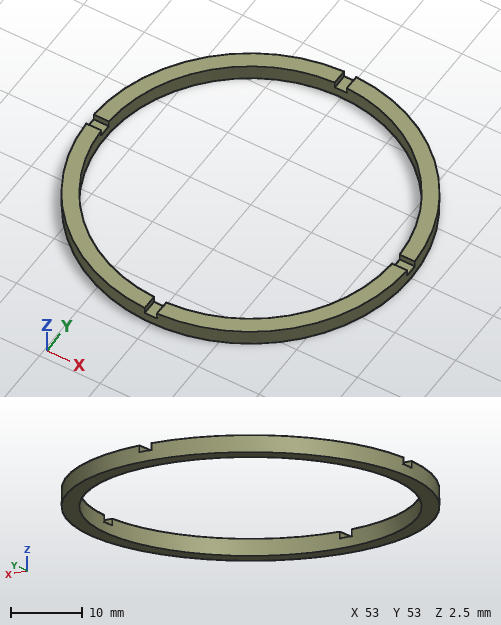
import cadquery as cq

outer_diameter = 53.0
inner_diameter = 48.0
thickness = 2.5
notch_width = 2.0
notch_depth = 1.0


def make_ring():
    """Flat ring standing on the XY plane, centred on the Z axis."""
    return (
        cq.Workplane("XY")
        .circle(outer_diameter / 2)
        .circle(inner_diameter / 2)
        .extrude(thickness)
    )


def make_notch_bar(angle):
    """Bar across the full diameter that cuts two opposite notches in the top face."""
    return (
        cq.Workplane("XY")
        .workplane(offset=thickness - notch_depth)
        .rect(outer_diameter, notch_width)
        .extrude(notch_depth)
        .rotate((0, 0, 0), (0, 0, 1), angle)
    )


result = make_ring()
for bar_angle in (0, 90):
    result = result.cut(make_notch_bar(bar_angle))